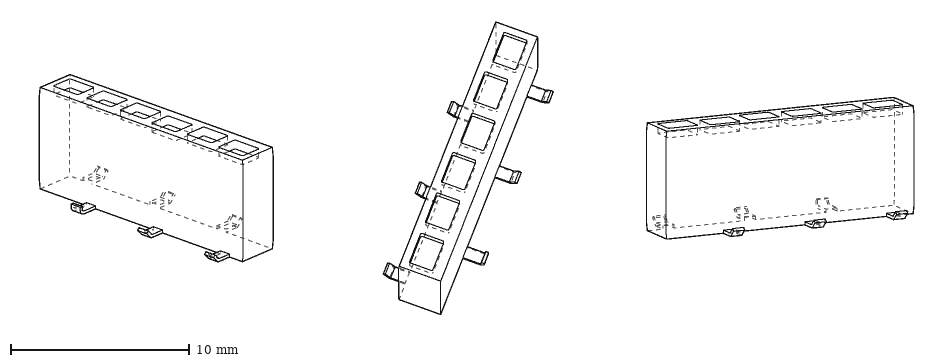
import cadquery as cq
import math

LENGTH = 15.5
WIDTH = 2.5
HEIGHT = 6.2
END_TAPER_HEIGHT = 0.51
END_TAPER_INSET = 0.06

CONTACT_COUNT = 6
PITCH = 2.54

POCKET_LENGTH = 1.86
POCKET_WIDTH = 1.4
POCKET_DEPTH = 0.55
POCKET_CORNER_RADIUS = 0.1
POCKET_OFFSET = 0.1
FRONT_OFFSET_POCKETS = (3, 5)

TAIL_SPAN = 5.15
TAIL_WIDTH = 0.7
TAIL_THICKNESS = 0.19
TAIL_HEIGHT = 0.51
TAIL_ANGLE = 45.0
TAIL_EMBED = 0.15
CURVED_TAIL = 1
CURVED_TAIL_REACH = 1.29
CURVED_TAIL_INNER_RADIUS = 0.147


def contact_x(index):
    return (index - (CONTACT_COUNT - 1) / 2) * PITCH


def make_housing():
    """Block whose two ends taper slightly at the top and bottom."""
    half = LENGTH / 2
    end = half - END_TAPER_INSET
    upper = HEIGHT - END_TAPER_HEIGHT
    outline = [
        (-end, 0),
        (end, 0),
        (half, END_TAPER_HEIGHT),
        (half, upper),
        (end, HEIGHT),
        (-end, HEIGHT),
        (-half, upper),
        (-half, END_TAPER_HEIGHT),
    ]
    return cq.Workplane("XZ").polyline(outline).close().extrude(WIDTH / 2, both=True)


def make_pocket(index):
    """Rounded blind pocket, set slightly off the housing's centre line."""
    offset = -POCKET_OFFSET if index in FRONT_OFFSET_POCKETS else POCKET_OFFSET
    return (
        cq.Workplane("XY", origin=(contact_x(index), offset, HEIGHT - POCKET_DEPTH))
        .rect(POCKET_LENGTH, POCKET_WIDTH)
        .extrude(POCKET_DEPTH)
        .edges("|Z")
        .fillet(POCKET_CORNER_RADIUS)
    )


def angled_tail_profile():
    """Flat strip ending in a sloped leg; starts inside the housing, bends outward along +Y."""
    angle = math.radians(TAIL_ANGLE)
    tip_y = TAIL_SPAN / 2
    tip_z = TAIL_HEIGHT - TAIL_THICKNESS * math.cos(angle)
    top_y = tip_y - TAIL_THICKNESS * math.sin(angle)
    outer_bend_y = tip_y - tip_z / math.tan(angle)
    inner_bend_y = top_y - (TAIL_HEIGHT - TAIL_THICKNESS) / math.tan(angle)
    root_y = WIDTH / 2 - TAIL_EMBED
    outline = [
        (root_y, 0),
        (outer_bend_y, 0),
        (tip_y, tip_z),
        (top_y, TAIL_HEIGHT),
        (inner_bend_y, TAIL_THICKNESS),
        (root_y, TAIL_THICKNESS),
    ]
    return cq.Workplane("YZ").polyline(outline).close()


def curved_tail_profile():
    """Flat strip ending in a round bend and an upright leg, outward along +Y."""
    outer_radius = CURVED_TAIL_INNER_RADIUS + TAIL_THICKNESS
    outer_y = WIDTH / 2 + CURVED_TAIL_REACH
    inner_y = outer_y - TAIL_THICKNESS
    bend_y = outer_y - outer_radius
    root_y = WIDTH / 2 - TAIL_EMBED
    return (
        cq.Workplane("YZ")
        .moveTo(root_y, 0)
        .lineTo(bend_y, 0)
        .radiusArc((outer_y, outer_radius), -outer_radius)
        .lineTo(outer_y, TAIL_HEIGHT)
        .lineTo(inner_y, TAIL_HEIGHT)
        .lineTo(inner_y, outer_radius)
        .radiusArc((bend_y, TAIL_THICKNESS), CURVED_TAIL_INNER_RADIUS)
        .lineTo(root_y, TAIL_THICKNESS)
        .close()
    )


def make_tail(index):
    """Tails alternate between the +Y and -Y faces, starting on +Y."""
    profile = curved_tail_profile() if index == CURVED_TAIL else angled_tail_profile()
    tail = profile.extrude(TAIL_WIDTH / 2, both=True)
    if index % 2 == 1:
        tail = tail.mirror("XZ")
    return tail.translate((contact_x(index), 0, 0))


result = make_housing()
for contact in range(CONTACT_COUNT):
    result = result.cut(make_pocket(contact)).union(make_tail(contact))